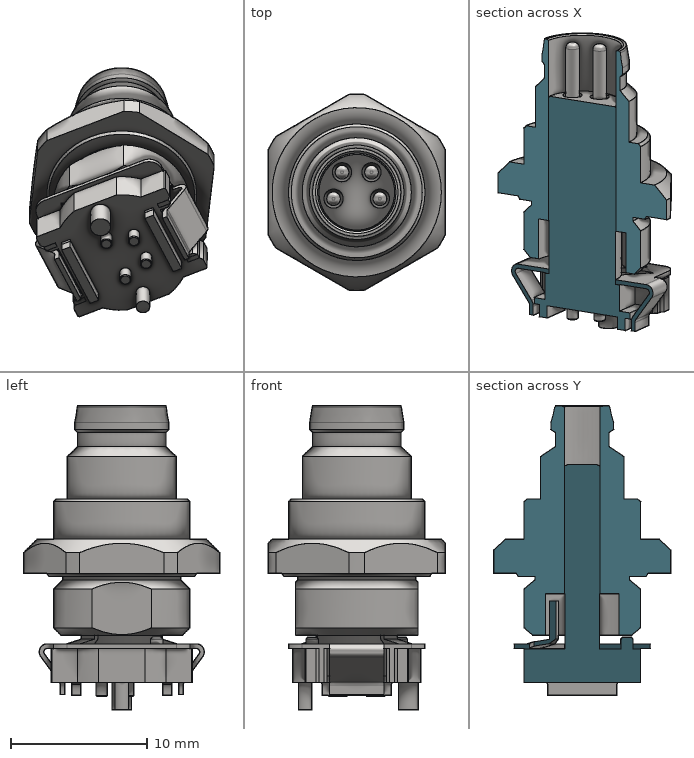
import cadquery as cq
import math


base_height = 2.5
plate_thickness = 0.35
plate_top = base_height + plate_thickness
insert_radius = 2.87
insert_top = 16.0

housing_top = 20.3
housing_bottom = 3.47

rim_radius = 3.23
head_radius = 3.46
head_taper_bottom = 19.05
head_bottom = 18.54
neck_radius = 3.25
neck_top = head_bottom - (head_radius - neck_radius)
neck_bottom = 17.29
rim_chamfer_width = 0.05
rim_chamfer_depth = 0.15
bore_chamfer_width = 0.15
bore_chamfer_depth = 0.08

sleeve_radius = 4.0
sleeve_top = 16.57
collar_radius = 5.0
collar_top = 13.47
collar_chamfer = 0.2

hex_width = 13.0
hex_corner_radius = 7.2
hex_chamfer_radius = 6.2
hex_top = 10.52
hex_bottom = 8.0

lip_radius = 5.49
lip_bottom_radius = 5.35
lip_bottom = 7.77

groove_radius = 4.34
groove_bottom = 7.52
foot_radius = 5.0
foot_top = groove_bottom - (foot_radius - groove_radius)
foot_chamfer = 0.55
foot_flats_width = 9.0

spring_bore_radius = 3.7
spring_bore_top = 6.5

base_round_radius = 5.0
base_width = 9.4
block_width = 7.6
block_depth = 10.4
block_corner_chamfer = 0.1
plate_size = 10.0
wall_inner_x = 2.41
wall_outer_x = wall_inner_x + plate_thickness

recess_outer_half = 3.0
recess_inner_half = 2.19
recess_floor_y = 4.1
recess_taper_y = 4.7
pocket_floor_z = 0.5
pocket_back_y = 3.2

insert_edge_chamfer = 0.1
countersink_radius = 0.7
countersink_depth = 0.2

contact_positions = [(-1.08, 1.47), (1.08, 1.47), (-1.7, -0.47), (1.7, -0.47)]
contact_radius = 0.5
contact_top = 20.0
contact_tip_round = 0.4
tail_radius = 0.42
tail_length = 1.0
tail_chamfer = 0.07

peg_offset = 3.78
peg_radii = {-1: 0.5, 1: 0.73}
peg_length = 2.0

rivet_positions = [(-3.27, -2.57), (3.27, 2.57)]
rivet_radius = 0.45
rivet_top = 3.33
rivet_chamfer = 0.12

foot_bar_width = 5.06
foot_bar_depth = 0.68
foot_bar_offset = 3.34
foot_bar_height = 0.93
foot_flare_height = 0.15
foot_flare_width = 0.07

plate_corner_radius = 1.0

tongue_width = 3.96
tongue_curl_radius = 0.6
tongue_curl_y = 5.45
tongue_angle = 53.8
tongue_leg_outer_y = 4.51
tongue_bottom = -0.88
tongue_bend_radius = 0.4

finger_width = 1.4
finger_clearance = 0.2
finger_relief_radius = 0.1
finger_fold = 5.0
finger_leg_outer = 3.52
finger_bend_height = 0.34
finger_top = 6.0
finger_angles = (-45, 135)


def cylinder(radius, bottom, top, x=0.0, y=0.0):
    return cq.Workplane("XY", origin=(x, y, bottom)).circle(radius).extrude(top - bottom)


def revolve_profile(points):
    """Turn a closed (radius, height) outline about Z."""
    return cq.Workplane("XZ").polyline(points).close().revolve(360, (0, 0, 0), (0, 1, 0))


def make_hexagon():
    corner_diameter = hex_width / math.cos(math.pi / 6)
    hexagon = (
        cq.Workplane("XY", origin=(0, 0, hex_bottom))
        .polygon(6, corner_diameter)
        .extrude(hex_top - hex_bottom)
        .rotate((0, 0, 0), (0, 0, 1), 30)
    )
    crown = cylinder(hex_corner_radius, hex_bottom, hex_top)
    crown = crown.faces(">Z").chamfer(hex_corner_radius - hex_chamfer_radius)
    return hexagon.intersect(crown)


def make_upper_turning():
    return revolve_profile([
        (0, hex_bottom),
        (collar_radius, hex_bottom),
        (collar_radius, collar_top - collar_chamfer),
        (collar_radius - collar_chamfer, collar_top),
        (sleeve_radius, collar_top),
        (sleeve_radius, sleeve_top),
        (neck_radius, neck_bottom),
        (neck_radius, neck_top),
        (head_radius, head_bottom),
        (head_radius, head_taper_bottom),
        (rim_radius + rim_chamfer_width, housing_top - rim_chamfer_depth),
        (rim_radius, housing_top),
        (0, housing_top),
    ])


def make_lower_turning():
    turning = revolve_profile([
        (0, housing_bottom),
        (foot_radius - foot_chamfer, housing_bottom),
        (foot_radius, housing_bottom + foot_chamfer),
        (foot_radius, foot_top),
        (groove_radius, groove_bottom),
        (groove_radius, lip_bottom),
        (lip_bottom_radius, lip_bottom),
        (lip_radius, hex_bottom),
        (0, hex_bottom),
    ])
    flats_block = cq.Workplane("XY", origin=(0, 0, housing_bottom)).rect(
        foot_flats_width, 2 * foot_radius
    ).extrude(lip_bottom - housing_bottom)
    above = cylinder(lip_radius, lip_bottom, hex_bottom)
    return turning.intersect(flats_block.union(above))


def make_housing():
    body = make_upper_turning().union(make_hexagon()).union(make_lower_turning())
    bore = revolve_profile([
        (0, housing_bottom),
        (spring_bore_radius, housing_bottom),
        (spring_bore_radius, spring_bore_top),
        (insert_radius, spring_bore_top),
        (insert_radius, housing_top - bore_chamfer_depth),
        (insert_radius + bore_chamfer_width, housing_top),
        (0, housing_top),
    ])
    return body.cut(bore)


def make_tongue_recess():
    """Tapered recess on the -Y side of the base, with slots for the two plate walls."""
    mouth_y = plate_size / 2
    front_y = block_depth / 2
    half_outline = [
        (recess_inner_half, -recess_floor_y),
        (recess_inner_half, -recess_taper_y),
        (wall_inner_x, -mouth_y),
        (wall_inner_x, -recess_floor_y),
        (wall_outer_x, -recess_floor_y),
        (wall_outer_x, -mouth_y),
        (recess_outer_half, -front_y),
    ]
    mirrored = [(-x, y) for x, y in reversed(half_outline)]
    recess = cq.Workplane("XY").polyline(half_outline + mirrored).close().extrude(base_height)
    pocket = cq.Workplane("XY").box(
        2 * recess_inner_half,
        recess_taper_y - pocket_back_y,
        base_height - pocket_floor_z,
        centered=(True, False, False),
    ).translate((0, -recess_taper_y, pocket_floor_z))
    return recess.union(pocket)


def make_base():
    round_part = cylinder(base_round_radius, 0, base_height).intersect(
        cq.Workplane("XY").rect(base_width, 2 * base_round_radius).extrude(base_height)
    )
    block = cq.Workplane("XY").rect(block_width, block_depth).extrude(base_height)
    block = block.edges("|Z").chamfer(block_corner_chamfer)
    recess = make_tongue_recess()
    base = round_part.union(block).cut(recess)
    return base.cut(recess.rotate((0, 0, 0), (0, 0, 1), 180))


def make_contact(x, y):
    pin = cylinder(contact_radius, base_height, contact_top, x, y)
    pin = pin.faces(">Z").edges().fillet(contact_tip_round)
    tail = cylinder(tail_radius, -tail_length, base_height, x, y)
    tail = tail.faces("<Z").chamfer(tail_chamfer)
    return pin.union(tail)


def make_countersink(x, y):
    cone = cq.Solid.makeCone(
        contact_radius, countersink_radius, countersink_depth,
        cq.Vector(x, y, insert_top - countersink_depth),
    )
    return cq.Workplane(cone)


def make_foot_bar():
    """Bar under the base whose two ends flare out where they meet it."""
    half_width = foot_bar_width / 2
    right_side = [
        (half_width, -foot_bar_height),
        (half_width, -foot_flare_height),
        (half_width + foot_flare_width, 0),
    ]
    left_side = [(-x, z) for x, z in reversed(right_side)]
    bar = cq.Workplane("XZ").polyline(right_side + left_side).close()
    return bar.extrude(foot_bar_depth / 2, both=True)


def make_carrier():
    insert = cylinder(insert_radius, 0, insert_top)
    insert = insert.faces(">Z").chamfer(insert_edge_chamfer)
    body = make_base().union(insert)
    for x, y in contact_positions:
        body = body.cut(make_countersink(x, y))
        body = body.union(make_contact(x, y))
    for side, radius in peg_radii.items():
        body = body.union(cylinder(radius, -peg_length, base_height, side * peg_offset))
    for x, y in rivet_positions:
        rivet = cylinder(rivet_radius, 0, rivet_top, x, y)
        body = body.union(rivet.faces(">Z").chamfer(rivet_chamfer))
    for side in (-1, 1):
        body = body.union(make_foot_bar().translate((0, side * foot_bar_offset, 0)))
    return body


def make_tongue():
    """Tongue on the +Y side: curls over the plate edge and slopes back to a leg."""
    outer = tongue_curl_radius
    inner = outer - plate_thickness
    centre_z = plate_top - outer
    slope = math.radians(tongue_angle)
    end_angle = slope - math.pi / 2
    middle_angle = (math.pi / 2 + end_angle) / 2
    root_y = plate_size / 2 - plate_thickness
    leg_inner_y = tongue_leg_outer_y - plate_thickness

    def on_curl(radius, angle):
        return (tongue_curl_y + radius * math.cos(angle), centre_z + radius * math.sin(angle))

    def arm_foot(radius, y):
        start_y, start_z = on_curl(radius, end_angle)
        return (y, start_z - (start_y - y) * math.tan(slope))

    outer_foot = arm_foot(outer, tongue_leg_outer_y)
    inner_foot = arm_foot(inner, leg_inner_y)
    tongue = (
        cq.Workplane("YZ", origin=(-tongue_width / 2, 0, 0))
        .moveTo(root_y, plate_top)
        .lineTo(tongue_curl_y, plate_top)
        .threePointArc(on_curl(outer, middle_angle), on_curl(outer, end_angle))
        .lineTo(*outer_foot)
        .lineTo(tongue_leg_outer_y, tongue_bottom)
        .lineTo(leg_inner_y, tongue_bottom)
        .lineTo(*inner_foot)
        .lineTo(*on_curl(inner, end_angle))
        .threePointArc(on_curl(inner, middle_angle), (tongue_curl_y, base_height))
        .lineTo(root_y, base_height)
        .close()
        .extrude(tongue_width)
    )
    bends = (
        (outer_foot, tongue_bend_radius),
        (inner_foot, tongue_bend_radius + plate_thickness),
    )
    for (y, z), radius in bends:
        tongue = tongue.edges(cq.NearestToPointSelector((0, y, z))).fillet(radius)
    return tongue


def make_finger():
    """Finger along +X: slopes inward from its fold, then stands upright."""
    bend_z = plate_top + finger_bend_height
    leg_inner = finger_leg_outer - plate_thickness
    return (
        cq.Workplane("XZ", origin=(0, finger_width / 2, 0))
        .moveTo(finger_fold, base_height)
        .lineTo(finger_fold, plate_top)
        .lineTo(finger_leg_outer, bend_z)
        .lineTo(finger_leg_outer, finger_top)
        .lineTo(leg_inner, finger_top)
        .lineTo(leg_inner, bend_z)
        .lineTo(finger_leg_outer, bend_z - plate_thickness)
        .close()
        .extrude(finger_width)
    )


def make_walls():
    """Four walls under the plate, one on each side of each tongue."""
    length = plate_size / 2 - recess_floor_y
    centre_x = (wall_inner_x + wall_outer_x) / 2
    centre_y = (plate_size / 2 + recess_floor_y) / 2
    return (
        cq.Workplane("XY")
        .rect(2 * centre_x, 2 * centre_y, forConstruction=True)
        .vertices()
        .rect(plate_thickness, length)
        .extrude(base_height)
    )


def make_finger_window():
    """Opening in the plate around the finger that lies along +X, with its relief holes."""
    width = finger_width + 2 * finger_clearance
    window = cq.Workplane("XY", origin=(finger_fold / 2, 0, base_height))
    window = window.rect(finger_fold, width).extrude(plate_thickness)
    for side in (-1, 1):
        relief = cylinder(finger_relief_radius, base_height, plate_top, finger_fold, side * width / 2)
        window = window.union(relief)
    return window


def make_spring_plate():
    plate = cq.Workplane("XY", origin=(0, 0, base_height))
    plate = plate.rect(plate_size, plate_size).extrude(plate_thickness)
    plate = plate.edges("|Z").fillet(plate_corner_radius)
    plate = plate.cut(cylinder(insert_radius, base_height, plate_top))
    for x, y in rivet_positions:
        plate = plate.cut(cylinder(rivet_radius, base_height, plate_top, x, y))
    window = make_finger_window()
    finger = make_finger()
    for angle in finger_angles:
        plate = plate.cut(window.rotate((0, 0, 0), (0, 0, 1), angle))
        plate = plate.union(finger.rotate((0, 0, 0), (0, 0, 1), angle))
    plate = plate.union(make_walls())
    tongue = make_tongue()
    return plate.union(tongue).union(tongue.rotate((0, 0, 0), (0, 0, 1), 180))


housing = make_housing()
carrier = make_carrier()
spring_plate = make_spring_plate()
result = cq.Compound.makeCompound([body.solids().val() for body in (housing, carrier, spring_plate)])